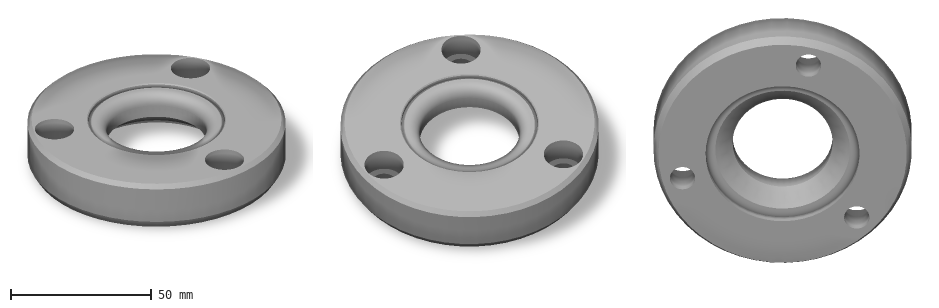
import cadquery as cq
import math

outer_radius = 46.0
thickness = 18.0
top_chamfer = 1.5
bottom_chamfer_height = 3.0
bottom_chamfer_angle = 30.0

bore_diameter = 35.6
bore_radius = bore_diameter / 2
mouth_round = 4.05
rim_depth = 1.0
rim_width = 1.4
rim_chamfer = 0.55

groove_outer_radius = 24.4
groove_edge_chamfer = 0.4
groove_floor_angle = 20.0

cone_start_depth = 9.8
cone_half_angle = 50.0
recess_radius = 27.4
recess_depth = 3.0

hole_count = 3
hole_circle_radius = 37.0
hole_radius = 4.5
counterbore_radius = 7.0
counterbore_depth = 9.0


def ring_body():
    """Revolve the ring's half section about Z, with the bottom face at Z = 0."""
    bottom_radius = outer_radius - bottom_chamfer_height * math.tan(math.radians(bottom_chamfer_angle))
    rim_z = thickness - rim_depth
    mouth_radius = bore_radius + mouth_round
    rim_outer_radius = mouth_radius + rim_width
    floor_inner_radius = rim_outer_radius + rim_chamfer
    floor_inner_z = rim_z - rim_chamfer
    floor_drop = (groove_outer_radius - floor_inner_radius) * math.tan(math.radians(groove_floor_angle))
    cone_start_z = thickness - cone_start_depth
    cone_height = cone_start_z - recess_depth
    cone_end_radius = bore_radius + cone_height * math.tan(math.radians(cone_half_angle))
    arc_reach = mouth_round * math.sqrt(0.5)

    return (
        cq.Workplane("XZ")
        .moveTo(recess_radius, 0)
        .lineTo(bottom_radius, 0)
        .lineTo(outer_radius, bottom_chamfer_height)
        .lineTo(outer_radius, thickness - top_chamfer)
        .lineTo(outer_radius - top_chamfer, thickness)
        .lineTo(groove_outer_radius + groove_edge_chamfer, thickness)
        .lineTo(groove_outer_radius, thickness - groove_edge_chamfer)
        .lineTo(groove_outer_radius, floor_inner_z - floor_drop)
        .lineTo(floor_inner_radius, floor_inner_z)
        .lineTo(rim_outer_radius, rim_z)
        .lineTo(mouth_radius, rim_z)
        .threePointArc(
            (mouth_radius - arc_reach, rim_z - mouth_round + arc_reach),
            (bore_radius, rim_z - mouth_round),
        )
        .lineTo(bore_radius, cone_start_z)
        .lineTo(cone_end_radius, recess_depth)
        .lineTo(recess_radius, recess_depth)
        .close()
        .revolve(360, (0, 0, 0), (0, 1, 0))
    )


def screw_holes():
    """Counterbored through holes, the first one on the +Y axis."""
    centers = cq.Workplane("XY").polarArray(hole_circle_radius, 90, 360, hole_count)
    shanks = centers.circle(hole_radius).extrude(thickness)
    heads = (
        cq.Workplane("XY", origin=(0, 0, thickness - counterbore_depth))
        .polarArray(hole_circle_radius, 90, 360, hole_count)
        .circle(counterbore_radius)
        .extrude(counterbore_depth)
    )
    return shanks.union(heads)


result = ring_body().cut(screw_holes())